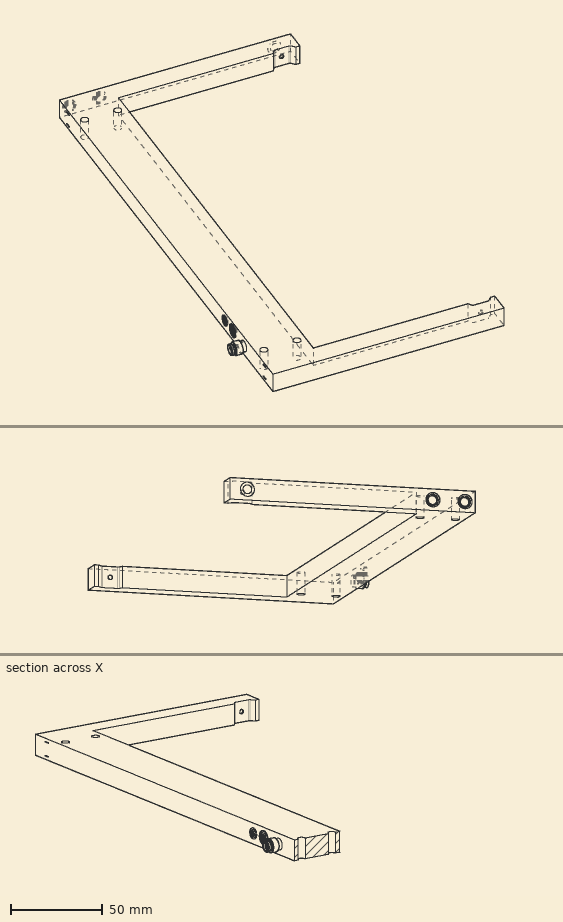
import cadquery as cq
import math

width = 274.0
thickness = 12.0
frame_length = 140.0
arm_width = 12.0
bar_depth = 30.1

notch_depth = 2.5
notch_start = 2.5
notch_end = 16.2
notch_lead_in = 2.5
notch_lead_out = 1.6
notch_corner_radius = 1.0
match_tolerance = 1e-6

sensor_offset = 10.0
sensor_diameter = 2.5
sensor_depth = 0.8
plug_steps = ((8.0, 0.05), (5.0, 0.1))

mount_diameter = 4.5
mount_spacing_x = 230.0
mount_spacing_y = 20.0
mount_edge_offset = 5.0

side_socket_offsets = (5.8, 24.0)
side_socket_steps = ((8.0, 0.5), (6.3, 1.0), (5.0, 1.6))
indicator_x = 74.8
indicator_steps = ((6.3, 0.5), (4.5, 1.0), (2.5, 1.6))
adjuster_x = 85.0
adjuster_steps = ((8.0, 0.5), (6.3, 1.0), (4.5, 1.6), (2.5, 2.2))

mark_spacing_x = 252.0
mark_spacing_z = 8.0
mark_length = 3.3
mark_height = 0.3
mark_depth = 0.3

connector_x = 100.0
neck_diameter = 6.5
neck_length = 2.2
collar_diameter = 8.0
collar_length = 4.0
collar_chamfer = 0.3
groove_diameter = 5.8
groove_length = 0.8
flange_diameter = 6.5
flange_length = 1.5
connector_length = neck_length + collar_length + groove_length + flange_length
connector_bore_diameter = 5.0
connector_bore_depth = 1.6
pin_diameter = 1.0
pin_circle_diameter = 2.5
pin_count = 3
pin_start_angle = 60
pin_height = 1.0

neck_hole_diameter = 2.0
neck_hole_depth = 1.0
neck_hole_tilt = 45

end_y = -(frame_length + connector_length) / 2
front_y = end_y + connector_length
tip_y = front_y + frame_length
sensor_y = tip_y - sensor_offset
notch_x = width / 2 - arm_width + notch_depth


def front_plane(x, y=front_y):
    """Plane at x and y, with its normal pointing out along -Y."""
    return cq.Plane(origin=(x, y, 0), xDir=(1, 0, 0), normal=(0, -1, 0))


def side_plane(y):
    """Plane on the -X side at y, with its normal pointing out along -X."""
    return cq.Plane(origin=(-width / 2, y, 0), xDir=(0, -1, 0), normal=(-1, 0, 0))


def stepped_hole(plane, steps):
    """Blind hole made of (diameter, depth) steps, every depth from the face."""
    hole = cq.Workplane(plane)
    for diameter, depth in steps:
        hole = hole.union(cq.Workplane(plane).circle(diameter / 2).extrude(-depth))
    return hole


def frame():
    outer_x = width / 2
    inner_x = outer_x - arm_width
    right_half = [
        (outer_x, front_y),
        (outer_x, tip_y),
        (inner_x, tip_y),
        (inner_x, tip_y - notch_start),
        (notch_x, tip_y - notch_start - notch_lead_in),
        (notch_x, tip_y - notch_end + notch_lead_out),
        (inner_x, tip_y - notch_end),
        (inner_x, front_y + bar_depth),
    ]
    left_half = [(-x, y) for x, y in reversed(right_half)]
    base = cq.Workplane("XY", origin=(0, 0, -thickness / 2))
    plate = base.polyline(right_half + left_half).close().extrude(thickness)
    corners = plate.edges("|Z").filter(
        lambda edge: math.isclose(abs(edge.Center().x), notch_x, rel_tol=match_tolerance)
    )
    return corners.fillet(notch_corner_radius)


def mounting_holes():
    centre_y = front_y + mount_edge_offset + mount_spacing_y / 2
    return (
        cq.Workplane("XY", origin=(0, centre_y, -thickness / 2))
        .rarray(mount_spacing_x, mount_spacing_y, 2, 2)
        .circle(mount_diameter / 2)
        .extrude(thickness)
    )


def sensor_holes():
    """One blind hole into each notch floor, cut by a single bar across the opening."""
    half_length = notch_x + sensor_depth
    return (
        cq.Workplane("YZ", origin=(0, sensor_y, 0))
        .circle(sensor_diameter / 2)
        .extrude(half_length, both=True)
    )


def front_marks():
    return (
        cq.Workplane(front_plane(0))
        .rarray(mark_spacing_x, mark_spacing_z, 2, 2)
        .rect(mark_length, mark_height)
        .extrude(-mark_depth)
    )


def connector_step(diameter, start, length):
    """Cylinder on the connector axis, starting at a distance from the front face."""
    return cq.Workplane(front_plane(connector_x, front_y - start)).circle(diameter / 2).extrude(length)


def connector():
    groove_start = neck_length + collar_length
    flange_start = groove_start + groove_length
    collar = connector_step(collar_diameter, neck_length, collar_length)
    neck_hole = (
        cq.Workplane("XY")
        .workplane(offset=neck_diameter / 2 - neck_hole_depth)
        .circle(neck_hole_diameter / 2)
        .extrude(neck_diameter)
        .rotate((0, 0, 0), (0, 1, 0), -neck_hole_tilt)
        .translate((connector_x, front_y - neck_length / 2, 0))
    )
    pins = (
        cq.Workplane(front_plane(connector_x, end_y + connector_bore_depth))
        .polarArray(pin_circle_diameter / 2, pin_start_angle, 360, pin_count)
        .circle(pin_diameter / 2)
        .extrude(pin_height)
    )
    bore = ((connector_bore_diameter, connector_bore_depth),)
    return (
        connector_step(neck_diameter, 0, neck_length)
        .cut(neck_hole)
        .union(collar.faces(">Y or <Y").edges().chamfer(collar_chamfer))
        .union(connector_step(groove_diameter, groove_start, groove_length))
        .union(connector_step(flange_diameter, flange_start, flange_length))
        .cut(stepped_hole(front_plane(connector_x, end_y), bore))
        .union(pins)
    )


result = frame().cut(mounting_holes()).cut(sensor_holes()).cut(front_marks())
for socket_offset in side_socket_offsets:
    result = result.cut(stepped_hole(side_plane(front_y + socket_offset), side_socket_steps))
result = result.cut(stepped_hole(side_plane(sensor_y), plug_steps))
result = result.cut(stepped_hole(front_plane(indicator_x), indicator_steps))
result = result.cut(stepped_hole(front_plane(adjuster_x), adjuster_steps))
result = result.union(connector())